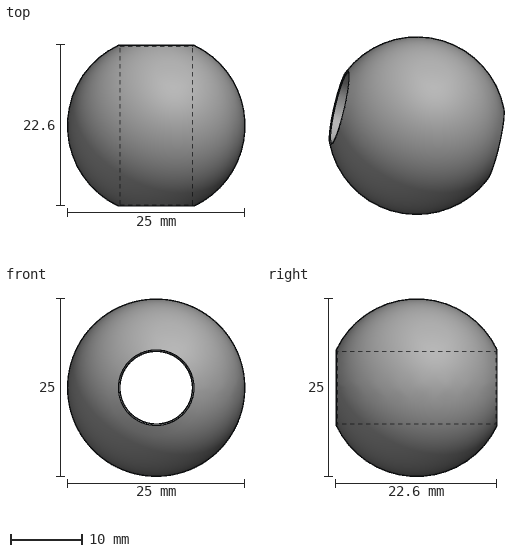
import cadquery as cq
import math

ball_diameter = 25.0
length = 22.62
bore_diameter = 10.18
chamfer_depth = 0.15

ball_radius = ball_diameter / 2
bore_radius = bore_diameter / 2
end_y = length / 2

rim_radius = math.sqrt(ball_radius**2 - end_y**2)
chamfer_start_y = end_y - chamfer_depth

half_section = (
    cq.Workplane("XY")
    .moveTo(bore_radius, -chamfer_start_y)
    .lineTo(rim_radius, -end_y)
    .threePointArc((ball_radius, 0), (rim_radius, end_y))
    .lineTo(bore_radius, chamfer_start_y)
    .close()
)

result = half_section.revolve(360, (0, 0, 0), (0, 1, 0))